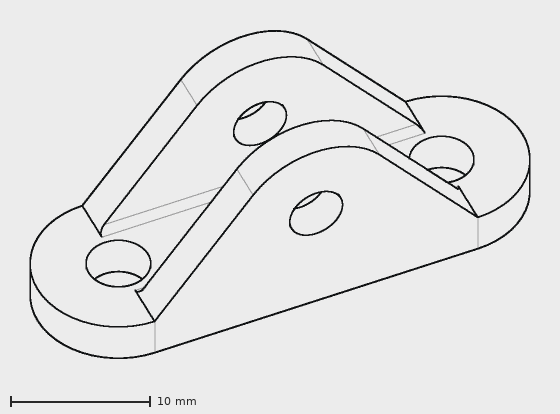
import cadquery as cq
import math

length = 38.1
width = 12.7
height = 15.35
base_thickness = 3.25
wall_thickness = 2.85
fillet_radius = 0.57
mount_hole_diameter = 4.65
pin_hole_diameter = 4.15

end_radius = width / 2
mount_hole_spacing = length - width
wall_half_length = mount_hole_spacing / 2
wall_top_radius = end_radius
pin_height = height - wall_top_radius
channel_width = width - 2 * wall_thickness


def make_base():
    """Flat plate with fully rounded ends."""
    return cq.Workplane("XY").slot2D(length, width, 90).extrude(base_thickness)


def make_wall_outline():
    """Side profile: straight flanks tangent to a round top, extruded across the width."""
    drop = pin_height - base_thickness
    corner_distance = math.hypot(wall_half_length, drop)
    tangent_angle = math.acos(wall_top_radius / corner_distance) - math.atan2(drop, wall_half_length)
    tangent_y = wall_top_radius * math.cos(tangent_angle)
    tangent_z = pin_height + wall_top_radius * math.sin(tangent_angle)
    return (
        cq.Workplane("YZ")
        .moveTo(-wall_half_length, 0)
        .lineTo(wall_half_length, 0)
        .lineTo(wall_half_length, base_thickness)
        .lineTo(tangent_y, tangent_z)
        .threePointArc((0, height), (-tangent_y, tangent_z))
        .lineTo(-wall_half_length, base_thickness)
        .close()
        .extrude(width / 2, both=True)
    )


def make_channel():
    """Open slot between the walls, with rounded bottom edges."""
    return (
        cq.Workplane("XY", origin=(0, 0, base_thickness))
        .rect(channel_width, length)
        .extrude(height)
        .edges("|Y and <Z")
        .fillet(fillet_radius)
    )


def make_mount_holes():
    """Vertical holes concentric with the rounded ends."""
    return (
        cq.Workplane("XY")
        .pushPoints([(0, -mount_hole_spacing / 2), (0, mount_hole_spacing / 2)])
        .circle(mount_hole_diameter / 2)
        .extrude(height)
    )


def make_pin_hole():
    """Cross hole through both walls, concentric with their round tops."""
    return (
        cq.Workplane("YZ")
        .center(0, pin_height)
        .circle(pin_hole_diameter / 2)
        .extrude(width, both=True)
    )


walls = make_wall_outline().cut(make_channel())
result = make_base().union(walls).cut(make_mount_holes()).cut(make_pin_hole())